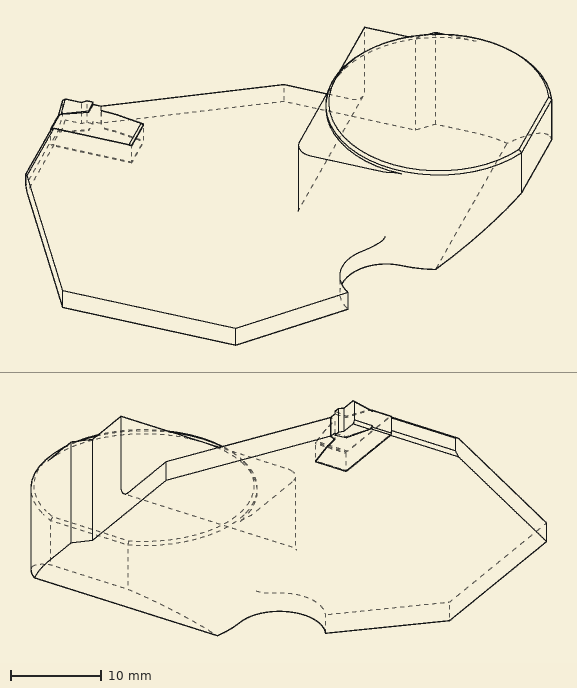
import cadquery as cq

shank_radius = 12.5
shank_x = 44.15
shank_y = 31.95
shank_top = 13.7
shank_rim_chamfer = 0.35
shank_flat_x = 55.6
shank_bevel = 7.7
shank_left = shank_x - shank_radius
shank_front = shank_y - shank_radius
shank_back = shank_y + shank_radius

plate_thickness = 2.4
plate_left = 0.4
plate_back = 42.75
plate_back_corner_x = 22.2
plate_slope_end_y = 30.1
plate_left_front_y = 18.7
plate_front_left_x = 11.3
plate_front_right_x = 31.6
plate_edge_chamfer = 0.4

block_front = 19.1
block_top = 12.95
block_corner_radius = 2.0
block_root_fillet = 1.5
tab_height = shank_back - plate_back
tab_x = 39.3

bite_radius = 5.1
bite_y = shank_front - bite_radius
bite_edge_x = 42.3
bite_edge_y = 11.4

insert_bottom = -0.1
insert_top = 2.35
insert_left = 0.4
insert_front = 26.95
insert_right = 9.9
insert_edge_chamfer = 0.15
insert_end_chamfer_length = 0.35
insert_end_chamfer_depth = 0.1
insert_back_outline = [
    (insert_right, 30.95),
    (6.45, 31.6),
    (4.65, 31.7),
    (4.35, 32.45),
]

head_front_y = 29.45
head_side_x = 3.45
head_side_y = 30.95
head_back_y = 32.45
head_outline = [
    (head_side_x, head_back_y),
    (2.7, head_back_y),
    (2.2, 32.0),
    (0.0, 32.0),
    (insert_left, head_front_y),
]
head_bottom = -0.4
head_top = 2.65
head_taper = 0.3
head_edge_chamfer = 0.35


def prism(outline, bottom, top):
    """Extrude a closed XY outline from one height to another."""
    return cq.Workplane("XY", origin=(0, 0, bottom)).polyline(outline).close().extrude(top - bottom)


def make_plate():
    plate = prism(
        [
            (plate_left, plate_left_front_y),
            (plate_front_left_x, 0),
            (plate_front_right_x, 0),
            (bite_edge_x, bite_edge_y),
            (shank_x, bite_y),
            (shank_x, plate_back),
            (plate_back_corner_x, plate_back),
            (plate_left, plate_slope_end_y),
        ],
        0,
        plate_thickness,
    )
    return plate.faces("<X").edges("|Y").chamfer(plate_edge_chamfer)


def make_block():
    block = prism(
        [
            (shank_left, block_front),
            (shank_x, block_front),
            (shank_x, shank_back),
            (tab_x, shank_back),
            (tab_x - tab_height, plate_back),
            (shank_left, plate_back),
        ],
        0,
        block_top,
    )
    return block.edges("|Z and <X and <Y").fillet(block_corner_radius)


def make_shank():
    flat_cutter = cq.Workplane("XY").box(
        2 * shank_radius, 4 * shank_radius, shank_top, centered=(False, True, False)
    ).translate((shank_flat_x, shank_y, 0))
    shank = cq.Workplane("XY").center(shank_x, shank_y).circle(shank_radius).extrude(shank_top)
    shank = shank.cut(flat_cutter).faces(">Z").edges().chamfer(shank_rim_chamfer)
    bevel = (
        cq.Workplane("XZ")
        .polyline([(shank_flat_x - shank_bevel, 0), (shank_flat_x, shank_bevel), (shank_flat_x, 0)])
        .close()
        .extrude(2 * shank_radius, both=True)
        .translate((0, shank_y, 0))
    )
    return shank.cut(bevel)


def make_holder():
    holder = make_plate().union(make_block())
    root_box = cq.selectors.BoxSelector(
        (shank_left - 0.55, block_front - 0.55, plate_thickness - 0.05),
        (shank_x - 0.55, plate_back - 0.55, plate_thickness + 0.05),
    )
    holder = holder.edges(root_box).fillet(block_root_fillet)
    bite = cq.Workplane("XY").center(shank_x, bite_y).circle(bite_radius).extrude(shank_top)
    return holder.cut(bite).union(make_shank())


def make_insert_body():
    outline = [(insert_left, insert_front), (insert_right, insert_front)]
    outline += insert_back_outline
    outline += [(head_side_x, head_back_y), (head_side_x, head_side_y), (insert_left, head_front_y)]
    body = prism(outline, insert_bottom, insert_top)
    body = body.faces("<X").edges("|Y").chamfer(insert_edge_chamfer)
    end_chamfer = (
        cq.Workplane("XZ", origin=(insert_right, 0, insert_top))
        .polyline([(-insert_end_chamfer_length, 0), (0, -insert_end_chamfer_depth), (0, 0)])
        .close()
        .extrude(-head_back_y)
    )
    return body.cut(end_chamfer)


def make_insert_head():
    head = prism(head_outline + [(head_side_x, head_side_y)], head_bottom, head_top)
    side_profile = [
        (head_front_y, head_bottom + head_taper),
        (head_back_y, head_bottom),
        (head_back_y, head_top),
        (head_front_y, head_top - head_taper),
    ]
    taper = cq.Workplane("YZ").polyline(side_profile).close().extrude(insert_right)
    head = head.intersect(taper)
    left_edges = cq.selectors.BoxSelector(
        (-insert_left, head_front_y, head_bottom),
        (insert_left, head_back_y, head_top),
    )
    return head.edges(left_edges).edges("not |Z").chamfer(head_edge_chamfer)


def make_insert():
    return make_insert_body().union(make_insert_head())


def make_pocket():
    """Full-thickness space for the insert, open above and below the plate."""
    outline = [(insert_left, insert_front), (insert_right, insert_front)]
    outline += insert_back_outline + head_outline[:-1]
    outline += [(0.0, insert_front)]
    return prism(outline, head_bottom, head_top)


insert = make_insert()
holder = make_holder().cut(make_pocket())

result = cq.Compound.makeCompound([holder.solids().val(), insert.solids().val()])